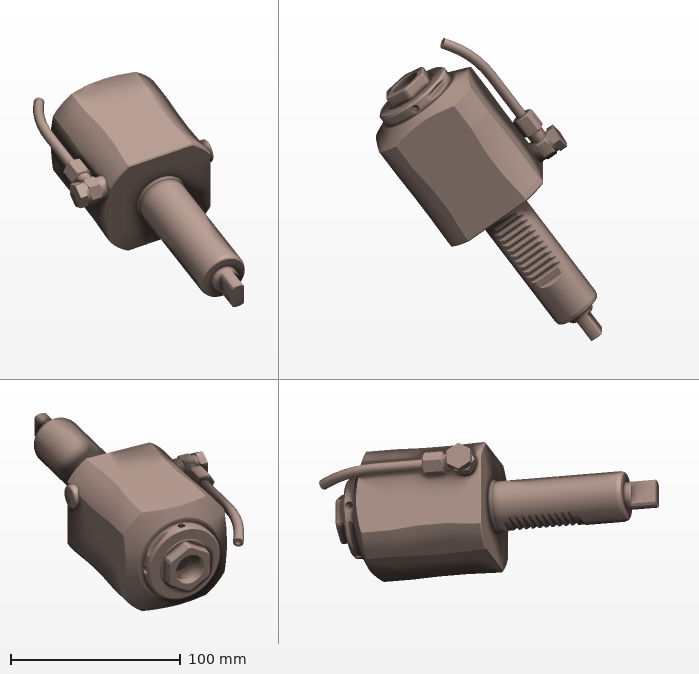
import cadquery as cq
import math


HEAD_WIDTH = 67.0
HEAD_CORNER_RADIUS = 39.7
HEAD_FRONT_X = -79.3
CONE_FRONT_RADIUS = 26.8
CONE_REAR_X = -72.8
FRONT_EDGE_FILLET = 1.8
WAIST_FRONT_X = -55.3
WAIST_REAR_X = -4.7
WAIST_DEPTH = 1.0
HEAD_REAR_CHAMFER = 0.8

SHANK_RADIUS = 15.0
SHANK_END_X = 80.3
SHANK_SHOULDER_RADIUS = 16.0
SHANK_SHOULDER_LENGTH = 2.2
SHANK_SHOULDER_FILLET = 1.4
LEAD_LENGTH = 2.5
LEAD_DEPTH = 0.5
SHANK_END_CHAMFER = 0.5
RACK_FLAT_Z = -12.6
RACK_FRONT_X = 7.1
RACK_FRONT_RUNOUT = 1.2
RACK_REAR_X = 53.0
RACK_REAR_RUNOUT = 2.0
TOOTH_GAP_COUNT = 10
TOOTH_GAP_FIRST_X = 11.2
TOOTH_GAP_LAST_X = 47.4
TOOTH_GAP_DEPTH = 2.2
TOOTH_GAP_MOUTH = 3.0
TOOTH_GAP_FLOOR = 0.8

COLLAR_RADIUS = 24.0
COLLAR_FRONT_X = -86.5
COLLAR_CHAMFER = 1.2
WRENCH_X = -82.5
WRENCH_HOLE_RADIUS = 2.4
WRENCH_HOLE_DEPTH = 3.0
WRENCH_HOLE_TIP_DEPTH = 1.4
WRENCH_SLOT_MOUTH = 5.5
WRENCH_SLOT_FLOOR = 2.4
WRENCH_SLOT_FLOOR_RADIUS = 22.3

COOLANT_X = -9.0
COOLANT_Y = -41.0
COOLANT_Z = 15.4
STUB_RADIUS = 6.7
STUB_ROOT_Y = 27.6
BOLT_HEAD_RADIUS = 8.0
BOLT_HEAD_NEAR_Y = -47.2
BOLT_HEAD_HEIGHT = 4.7
PLUG_RADIUS = 7.1
PLUG_END_Y = 36.5
PLUG_CHAMFER = 0.5
RING_CORNER_RADIUS = 7.9
RING_WIDTH = 7.9
NECK_RADIUS = 5.1
NUT_CORNER_RADIUS = 7.1
NUT_FRONT_X = -32.4
NUT_REAR_X = -20.1
HEX_BEVEL_DEPTH = 1.4
HEX_BEVEL_LENGTH = 0.8
TUBE_RADIUS = 3.2
TUBE_BORE_RADIUS = 1.5
TUBE_BEND_X = -62.5
TUBE_BEND_RADIUS = 56.5
TUBE_BEND_ANGLE = 32.0
TUBE_TILT_ANGLE = 18.0
TUBE_TIP_LENGTH = 5.1

NOSE_FRONT_X = -93.5
NOSE_ACROSS_FLATS = 26.8
NOSE_CORNER_RADIUS = 15.0
NOSE_CHAMFER = 0.5
JOURNAL_RADIUS = 16.4
JOURNAL_CHAMFER = 0.8
JOURNAL_END_X = -11.8
SOCKET_RADIUS = 8.9
SOCKET_CHAMFER = 0.5
SOCKET_LAND_LENGTH = 4.5
SOCKET_RELIEF_RADIUS = 9.3
SOCKET_DEPTH = 15.8
SHAFT_RADIUS = 8.3
TANG_SHOULDER_X = 84.7
TANG_END_X = 98.9
TANG_THICKNESS = 7.9
TANG_END_CHAMFER = 0.4
TANG_EDGE_CHAMFER = 1.0
TANG_ROOT_FILLET = 0.8


def cylinder(start, direction, radius, length):
    """Cylinder running from a start point along a direction."""
    return cq.Workplane(cq.Solid.makeCylinder(radius, length, cq.Vector(*start), cq.Vector(*direction)))


def turned(points):
    """Solid turned about the X axis from (x, radius) points, closed along the axis."""
    profile = [(points[0][0], 0), *points, (points[-1][0], 0)]
    return cq.Workplane("XY").polyline(profile).close().revolve(360, (0, 0), (1, 0))


def hexagon_rounding(corner_radius, length):
    """Round along +Z with bevelled ends that trims the corners of a hexagonal bar."""
    end_radius = corner_radius - HEX_BEVEL_DEPTH
    return (
        cq.Workplane("XZ")
        .polyline(
            [
                (0, 0),
                (end_radius, 0),
                (corner_radius, HEX_BEVEL_LENGTH),
                (corner_radius, length - HEX_BEVEL_LENGTH),
                (end_radius, length),
                (0, length),
            ]
        )
        .close()
        .revolve(360, (0, 0), (0, 1))
    )


def trimmed_hexagon(corner_radius, length):
    """Hexagonal bar along +Z, corners on X, with bevelled corners at both ends."""
    bar = cq.Workplane("XY").polygon(6, 2 * corner_radius).extrude(length)
    return bar.intersect(hexagon_rounding(corner_radius, length))


def make_head():
    """Square bar whose corners, front cone and shallow waist are turned."""
    middle_x = (WAIST_FRONT_X + WAIST_REAR_X) / 2
    envelope = (
        cq.Workplane("XY")
        .moveTo(HEAD_FRONT_X, 0)
        .lineTo(HEAD_FRONT_X, CONE_FRONT_RADIUS)
        .lineTo(CONE_REAR_X, HEAD_CORNER_RADIUS)
        .lineTo(WAIST_FRONT_X, HEAD_CORNER_RADIUS)
        .threePointArc((middle_x, HEAD_CORNER_RADIUS - WAIST_DEPTH), (WAIST_REAR_X, HEAD_CORNER_RADIUS))
        .lineTo(0, HEAD_CORNER_RADIUS)
        .lineTo(0, 0)
        .close()
        .revolve(360, (0, 0), (1, 0))
        .faces("<X")
        .edges()
        .fillet(FRONT_EDGE_FILLET)
    )
    bar = cq.Workplane("YZ", origin=(HEAD_FRONT_X, 0, 0)).rect(HEAD_WIDTH, HEAD_WIDTH).extrude(-HEAD_FRONT_X)
    return bar.intersect(envelope).faces(">X").chamfer(HEAD_REAR_CHAMFER)


def make_shank():
    """Round shank with a shoulder at the head, a tapered lead-in and the rack underneath."""
    lead_radius = SHANK_RADIUS - LEAD_DEPTH
    shank = turned(
        [
            (0, SHANK_RADIUS),
            (SHANK_END_X - LEAD_LENGTH, SHANK_RADIUS),
            (SHANK_END_X - SHANK_END_CHAMFER, lead_radius),
            (SHANK_END_X, lead_radius - SHANK_END_CHAMFER),
        ]
    )
    shoulder = cylinder((0, 0, 0), (1, 0, 0), SHANK_SHOULDER_RADIUS, SHANK_SHOULDER_LENGTH)
    shoulder = shoulder.faces(">X").edges().fillet(SHANK_SHOULDER_FILLET)
    return shank.union(shoulder).cut(make_rack_cut())


def make_rack_cut():
    """Flat with sloping run-outs under the shank, and the gaps between the rack teeth."""
    flat_depth = RACK_FLAT_Z + SHANK_RADIUS
    cut = (
        cq.Workplane("XZ")
        .polyline(
            [
                (RACK_FRONT_X, RACK_FLAT_Z),
                (RACK_REAR_X, RACK_FLAT_Z),
                (RACK_REAR_X + RACK_REAR_RUNOUT, RACK_FLAT_Z - flat_depth),
                (RACK_FRONT_X - RACK_FRONT_RUNOUT, RACK_FLAT_Z - flat_depth),
            ]
        )
        .close()
        .extrude(SHANK_RADIUS, both=True)
    )
    tooth_pitch = (TOOTH_GAP_LAST_X - TOOTH_GAP_FIRST_X) / (TOOTH_GAP_COUNT - 1)
    for index in range(TOOTH_GAP_COUNT):
        gap_x = TOOTH_GAP_FIRST_X + index * tooth_pitch
        gap = (
            cq.Workplane("XZ")
            .polyline(
                [
                    (gap_x - TOOTH_GAP_MOUTH / 2, RACK_FLAT_Z),
                    (gap_x - TOOTH_GAP_FLOOR / 2, RACK_FLAT_Z + TOOTH_GAP_DEPTH),
                    (gap_x + TOOTH_GAP_FLOOR / 2, RACK_FLAT_Z + TOOTH_GAP_DEPTH),
                    (gap_x + TOOTH_GAP_MOUTH / 2, RACK_FLAT_Z),
                ]
            )
            .close()
            .extrude(SHANK_RADIUS, both=True)
        )
        cut = cut.union(gap)
    return cut


def make_collar():
    """Collar with four radial wrench holes and two tapered, flat-bottomed wrench slots."""
    collar = turned(
        [
            (COLLAR_FRONT_X, COLLAR_RADIUS - COLLAR_CHAMFER),
            (COLLAR_FRONT_X + COLLAR_CHAMFER, COLLAR_RADIUS),
            (HEAD_FRONT_X, COLLAR_RADIUS),
        ]
    )
    hole = (
        cq.Workplane("XZ")
        .polyline(
            [
                (0, COLLAR_RADIUS - WRENCH_HOLE_DEPTH - WRENCH_HOLE_TIP_DEPTH),
                (WRENCH_HOLE_RADIUS, COLLAR_RADIUS - WRENCH_HOLE_DEPTH),
                (WRENCH_HOLE_RADIUS, COLLAR_RADIUS),
                (0, COLLAR_RADIUS),
            ]
        )
        .close()
        .revolve(360, (0, 0), (0, 1))
        .translate((WRENCH_X, 0, 0))
    )
    for angle in (0, 90, 180, 270):
        collar = collar.cut(hole.rotate((0, 0, 0), (1, 0, 0), angle))
    slot = (
        cq.Workplane("XZ")
        .polyline(
            [
                (WRENCH_X - WRENCH_SLOT_FLOOR / 2, WRENCH_SLOT_FLOOR_RADIUS),
                (WRENCH_X + WRENCH_SLOT_FLOOR / 2, WRENCH_SLOT_FLOOR_RADIUS),
                (WRENCH_X + WRENCH_SLOT_MOUTH / 2, COLLAR_RADIUS),
                (WRENCH_X - WRENCH_SLOT_MOUTH / 2, COLLAR_RADIUS),
            ]
        )
        .close()
        .extrude(COLLAR_RADIUS, both=True)
    )
    for angle in (-45, 135):
        collar = collar.cut(slot.rotate((0, 0, 0), (1, 0, 0), angle))
    return collar


def make_cross_bolt():
    """Coolant bolt on the -Y side of the head and the plug opposite it."""
    stub = cylinder(
        (COOLANT_X, -STUB_ROOT_Y, COOLANT_Z), (0, -1, 0), STUB_RADIUS, -BOLT_HEAD_NEAR_Y - STUB_ROOT_Y
    )
    head = (
        cq.Workplane("XZ", origin=(COOLANT_X, BOLT_HEAD_NEAR_Y, COOLANT_Z))
        .transformed(rotate=(0, 0, 30))
        .polygon(6, 2 * BOLT_HEAD_RADIUS)
        .extrude(BOLT_HEAD_HEIGHT)
    )
    plug = cylinder(
        (COOLANT_X, STUB_ROOT_Y, COOLANT_Z), (0, 1, 0), PLUG_RADIUS, PLUG_END_Y - STUB_ROOT_Y
    ).faces(">Y").chamfer(PLUG_CHAMFER)
    return stub.union(head).union(plug)


def make_fitting():
    """Hexagonal ring on the bolt, with a neck and union nut toward the front."""
    ring = (
        trimmed_hexagon(RING_CORNER_RADIUS, RING_WIDTH)
        .rotate((0, 0, 0), (1, 0, 0), 90)
        .translate((COOLANT_X, COOLANT_Y + RING_WIDTH / 2, COOLANT_Z))
    )
    neck = cylinder((COOLANT_X, COOLANT_Y, COOLANT_Z), (-1, 0, 0), NECK_RADIUS, COOLANT_X - NUT_REAR_X)
    nut = (
        trimmed_hexagon(NUT_CORNER_RADIUS, NUT_REAR_X - NUT_FRONT_X)
        .rotate((0, 0, 0), (0, 0, 1), 90)
        .rotate((0, 0, 0), (0, 1, 0), 90)
        .translate((NUT_FRONT_X, COOLANT_Y, COOLANT_Z))
    )
    return ring.union(neck).union(nut)


def make_tube():
    """Hollow tube: straight, then bent toward the spindle axis, with a straight tip."""
    bend = math.radians(TUBE_BEND_ANGLE)

    def bend_point(angle):
        return (
            TUBE_BEND_X - TUBE_BEND_RADIUS * math.sin(angle),
            COOLANT_Y + TUBE_BEND_RADIUS * (1 - math.cos(angle)),
        )

    bend_end = bend_point(bend)
    tip = (bend_end[0] - TUBE_TIP_LENGTH * math.cos(bend), bend_end[1] + TUBE_TIP_LENGTH * math.sin(bend))
    path = (
        cq.Workplane("XY", origin=(0, 0, COOLANT_Z))
        .moveTo(NUT_FRONT_X, COOLANT_Y)
        .lineTo(TUBE_BEND_X, COOLANT_Y)
        .threePointArc(bend_point(bend / 2), bend_end)
        .lineTo(*tip)
    )
    section = cq.Workplane("YZ", origin=(NUT_FRONT_X, COOLANT_Y, COOLANT_Z))
    tube = section.circle(TUBE_RADIUS).circle(TUBE_BORE_RADIUS).sweep(path)
    axis_start = (0, COOLANT_Y, COOLANT_Z)
    axis_end = (1, COOLANT_Y, COOLANT_Z)
    return tube.rotate(axis_start, axis_end, -TUBE_TILT_ANGLE)


def make_spindle_blank():
    """Stepped round of the journal and shaft; the housing bore has the same shape."""
    return turned(
        [
            (COLLAR_FRONT_X, JOURNAL_RADIUS),
            (JOURNAL_END_X, JOURNAL_RADIUS),
            (JOURNAL_END_X, SHAFT_RADIUS),
            (TANG_END_X, SHAFT_RADIUS),
        ]
    )


def make_housing():
    housing = make_head().union(make_shank()).union(make_collar())
    housing = housing.union(make_cross_bolt()).union(make_fitting()).union(make_tube())
    return housing.cut(make_spindle_blank())


def make_nose():
    """Hexagonal spindle nose with rounded corners."""
    length = COLLAR_FRONT_X - NOSE_FRONT_X + JOURNAL_CHAMFER
    nose = (
        cq.Workplane("YZ", origin=(NOSE_FRONT_X, 0, 0))
        .transformed(rotate=(0, 0, 30))
        .polygon(6, NOSE_ACROSS_FLATS / math.cos(math.radians(30)))
        .extrude(length)
    )
    rounding = cylinder((NOSE_FRONT_X, 0, 0), (1, 0, 0), NOSE_CORNER_RADIUS, length)
    return nose.intersect(rounding).faces("<X").chamfer(NOSE_CHAMFER)


def make_socket():
    """Tool socket with a chamfered mouth and a slightly wider relief behind it."""
    return turned(
        [
            (NOSE_FRONT_X, SOCKET_RADIUS + SOCKET_CHAMFER),
            (NOSE_FRONT_X + SOCKET_CHAMFER, SOCKET_RADIUS),
            (NOSE_FRONT_X + SOCKET_LAND_LENGTH, SOCKET_RADIUS),
            (NOSE_FRONT_X + SOCKET_LAND_LENGTH, SOCKET_RELIEF_RADIUS),
            (NOSE_FRONT_X + SOCKET_DEPTH, SOCKET_RELIEF_RADIUS),
        ]
    )


def make_tang_cut():
    """Material removed on both sides of the flat drive tang."""
    box_length = TANG_END_X - TANG_SHOULDER_X
    middle_x = (TANG_SHOULDER_X + TANG_END_X) / 2
    middle_y = (TANG_THICKNESS + SHAFT_RADIUS) / 2
    box = (
        cq.Workplane("XY")
        .center(middle_x, middle_y)
        .rect(box_length, SHAFT_RADIUS)
        .extrude(SHAFT_RADIUS, both=True)
        .edges("<X and <Y")
        .fillet(TANG_ROOT_FILLET)
    )
    return box.union(box.mirror("XZ"))


def make_spindle():
    blank = make_spindle_blank().faces("<X").chamfer(JOURNAL_CHAMFER)
    spindle = blank.cut(make_tang_cut())
    spindle = spindle.faces("|Y").edges("|X").chamfer(TANG_EDGE_CHAMFER)
    spindle = spindle.faces(">X").edges("%CIRCLE").chamfer(TANG_END_CHAMFER)
    return spindle.union(make_nose()).cut(make_socket())


housing = make_housing()
spindle = make_spindle()
result = cq.Compound.makeCompound([housing.solids().val(), spindle.solids().val()])